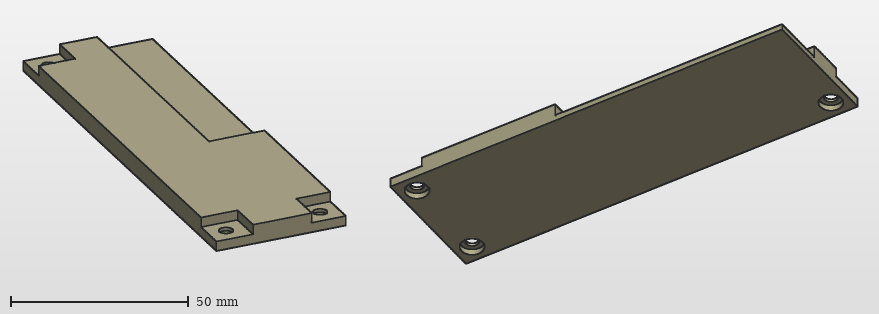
import cadquery as cq

length = 130.0
width = 40.0
thickness = 6.0

shelf_length = 75.3
shelf_width = 17.2
shelf_thickness = 2.0

corner_length = 10.4
front_corner_width = 11.3
back_corner_width = 10.5
corner_thickness = thickness / 2

hole_diameter = 4.0
hole_inset = 5.5
counterbore_diameter = 7.0
counterbore_depth = 2.0


def block_above(floor, x_start, y_start, x_size, y_size):
    """Block of material between a floor height and the top of the plate."""
    block = cq.Workplane("XY").box(x_size, y_size, thickness - floor, centered=False)
    return block.translate((x_start, y_start, floor))


def round_cutters(centers, diameter, height):
    """Upright cylinders standing on the bottom face of the plate."""
    return cq.Workplane("XY").pushPoints(centers).circle(diameter / 2).extrude(height)


plate = cq.Workplane("XY").box(length, width, thickness, centered=False)

plate = plate.cut(
    block_above(shelf_thickness, 0, width - shelf_width, shelf_length, shelf_width)
)

right_corner_x = length - corner_length
back_corner_y = width - back_corner_width
corners = [
    (0, 0, front_corner_width),
    (right_corner_x, 0, front_corner_width),
    (right_corner_x, back_corner_y, back_corner_width),
]
for corner_x, corner_y, corner_width in corners:
    plate = plate.cut(
        block_above(corner_thickness, corner_x, corner_y, corner_length, corner_width)
    )

hole_centers = [
    (hole_inset, hole_inset),
    (length - hole_inset, hole_inset),
    (length - hole_inset, width - hole_inset),
]
plate = plate.cut(round_cutters(hole_centers, hole_diameter, thickness))
result = plate.cut(round_cutters(hole_centers, counterbore_diameter, counterbore_depth))